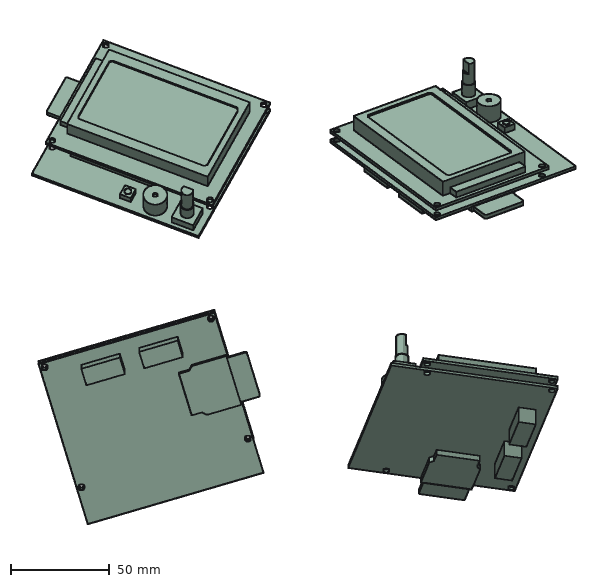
import cadquery as cq


board_width = 92.9
main_depth = 86.7
board_thickness = 1.6
lcd_board_depth = 70.0
lcd_board_bottom = 5.8
lcd_board_front = main_depth - lcd_board_depth
lcd_board_top = lcd_board_bottom + board_thickness

hole_radius = 1.5
hole_inset = 2.5

header_left = 13.1
header_front = 18.0
header_length = 50.2
header_depth = 2.7

frame_left = 7.5
frame_front = 26.3
frame_width = 78.4
frame_depth = 50.8
frame_height = 8.3
window_left = 10.7
window_front = 31.7
window_width = 71.8
window_depth = 40.0
window_corner_radius = 1.9
window_recess = 1.0
backlight_left = 2.2
backlight_front = 29.7
backlight_depth = 42.9
backlight_height = 3.4

controls_y = 7.9
button_x = 49.9
button_width = 6.0
button_depth = 6.2
button_height = 3.4
button_cap_radius = 1.7
button_cap_height = 0.5
buzzer_x = 65.1
buzzer_radius = 6.1
buzzer_height = 9.6
buzzer_hole_radius = 1.2
buzzer_hole_depth = 1.5
encoder_x = 82.9
encoder_width = 12.0
encoder_depth = 11.6
encoder_height = 4.4
collar_radius = 3.4
collar_top = 13.2
shaft_radius = 3.0
shaft_top = 25.6
flat_offset = 1.6
flat_bottom = 19.5

connector_lefts = (21.3, 51.9)
connector_front = 71.3
connector_width = 20.4
connector_depth = 9.0
connector_height = 9.1

socket_left = 0.4
socket_front = 37.8
socket_length = 25.7
socket_width = 26.4
socket_height = 3.1
socket_full_length = 18.2
socket_step = 2.0
card_overhang = 10.0
card_front = 39.1
card_width = 24.0
card_thickness = 2.4
card_gap = 0.4
card_corner_radius = 0.9


def block(left, front, bottom, width, depth, height):
    """Box placed by its left, front, bottom corner."""
    return cq.Workplane("XY").box(width, depth, height, centered=False).translate((left, front, bottom))


def post(x, y, bottom, radius, height):
    """Upright cylinder."""
    return cq.Workplane("XY", origin=(x, y, bottom)).circle(radius).extrude(height)


def make_boards():
    main_board = block(0, 0, 0, board_width, main_depth, board_thickness)
    lcd_board = block(0, lcd_board_front, lcd_board_bottom, board_width, lcd_board_depth, board_thickness)
    header = block(
        header_left, header_front, board_thickness,
        header_length, header_depth, lcd_board_bottom - board_thickness,
    )
    boards = main_board.union(lcd_board)
    for x in (hole_inset, board_width - hole_inset):
        for y in (lcd_board_front + hole_inset, main_depth - hole_inset):
            boards = boards.cut(post(x, y, 0, hole_radius, lcd_board_top))
    return boards.union(header)


def make_lcd():
    frame = block(frame_left, frame_front, lcd_board_top, frame_width, frame_depth, frame_height)
    window_floor = lcd_board_top + frame_height - window_recess
    window = block(window_left, window_front, window_floor, window_width, window_depth, window_recess)
    window = window.edges("|Z").fillet(window_corner_radius)
    backlight = block(
        backlight_left, backlight_front, lcd_board_top,
        frame_left - backlight_left, backlight_depth, backlight_height,
    )
    return frame.cut(window).union(backlight)


def control_base(x, width, depth, height):
    """Box on the control board centred on the line of controls."""
    return block(x - width / 2, controls_y - depth / 2, board_thickness, width, depth, height)


def make_button():
    base = control_base(button_x, button_width, button_depth, button_height)
    cap = post(button_x, controls_y, board_thickness, button_cap_radius, button_height + button_cap_height)
    return base.union(cap)


def make_buzzer():
    body = post(buzzer_x, controls_y, board_thickness, buzzer_radius, buzzer_height)
    hole_floor = board_thickness + buzzer_height - buzzer_hole_depth
    return body.cut(post(buzzer_x, controls_y, hole_floor, buzzer_hole_radius, buzzer_hole_depth))


def make_encoder():
    base = control_base(encoder_x, encoder_width, encoder_depth, encoder_height)
    collar = post(encoder_x, controls_y, board_thickness, collar_radius, collar_top - board_thickness)
    shaft = post(encoder_x, controls_y, board_thickness, shaft_radius, shaft_top - board_thickness)
    flat = block(
        encoder_x - shaft_radius, controls_y + flat_offset, flat_bottom,
        2 * shaft_radius, shaft_radius, shaft_top - flat_bottom,
    )
    return base.union(collar).union(shaft.cut(flat))


def make_connector(left):
    return block(
        left, connector_front, -connector_height,
        connector_width, connector_depth, connector_height,
    )


def make_card_socket():
    half_width = socket_width / 2
    narrow_half_width = half_width - socket_step
    socket = (
        cq.Workplane("XY", origin=(socket_left, socket_front + half_width, -socket_height))
        .moveTo(0, -half_width)
        .lineTo(socket_full_length, -half_width)
        .lineTo(socket_full_length + socket_step, -narrow_half_width)
        .lineTo(socket_length, -narrow_half_width)
        .lineTo(socket_length, narrow_half_width)
        .lineTo(socket_full_length + socket_step, narrow_half_width)
        .lineTo(socket_full_length, half_width)
        .lineTo(0, half_width)
        .close()
        .extrude(socket_height)
    )
    card = block(
        -card_overhang, card_front, -card_gap - card_thickness,
        card_overhang + socket_left + socket_length / 2, card_width, card_thickness,
    )
    return socket.union(card.edges("|Z and <X").fillet(card_corner_radius))


result = make_boards()
for component in (make_lcd(), make_button(), make_buzzer(), make_encoder(), make_card_socket()):
    result = result.union(component)
for connector_left in connector_lefts:
    result = result.union(make_connector(connector_left))